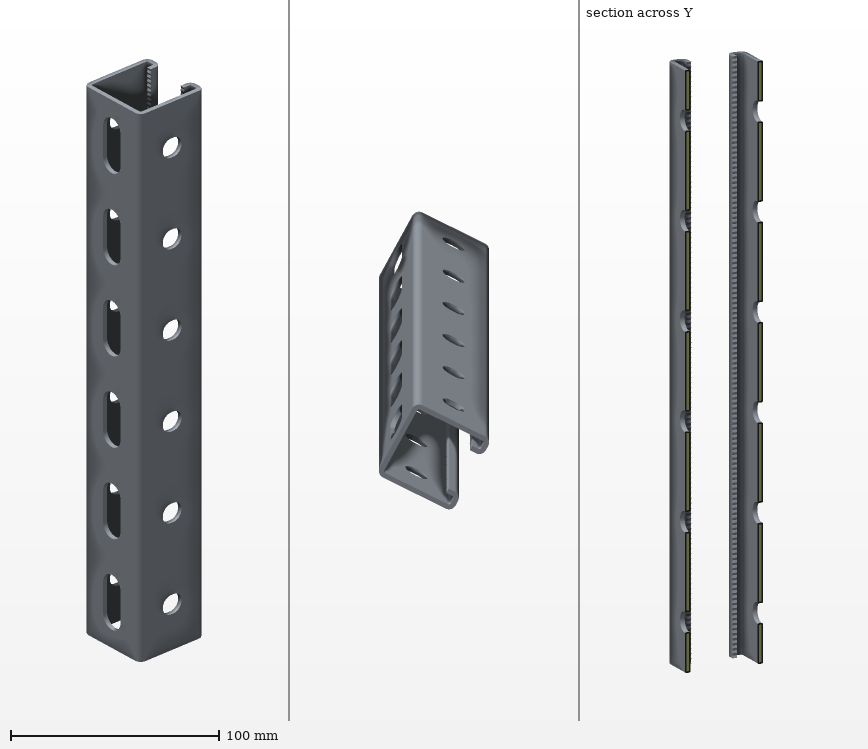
import cadquery as cq

length = 300.0
side = 41.0
wall = 2.5

outer_bend = 3.5
inner_bend = outer_bend - wall

mouth_width = 22.0
lip_depth = 7.0

tooth_count = 120
tooth_depth = 0.5
tooth_pitch = length / tooth_count

hole_count = 6
hole_pitch = length / hole_count
slot_width = 12.5
slot_length = 30.0
side_hole_height = 10.5
side_hole_width = 12.0

half_side = side / 2
half_mouth = mouth_width / 2
hole_heights = [(i + 0.5) * hole_pitch for i in range(hole_count)]


def box_between(x_min, x_max, y_min, y_max):
    """Full-length box between the given X and Y limits, standing on Z = 0."""
    return (
        cq.Workplane("XY")
        .box(x_max - x_min, y_max - y_min, length, centered=False)
        .translate((x_min, y_min, 0))
    )


def square_tube():
    """Square tube with bent corners, before the +Y face is opened."""
    outer = box_between(-half_side, half_side, -half_side, half_side)
    half_bore = half_side - wall
    bore = box_between(-half_bore, half_bore, -half_bore, half_bore)
    return outer.edges("|Z").fillet(outer_bend).cut(bore.edges("|Z").fillet(inner_bend))


def lip():
    """Hook on the +X side of the mouth, bent back into the channel."""
    x_end = half_side - outer_bend
    outer = box_between(half_mouth, x_end, half_side - lip_depth, half_side)
    hollow = box_between(half_mouth + wall, x_end, half_side - lip_depth, half_side - wall)
    bent_outer = outer.edges("|Z and >Y and <X").fillet(outer_bend)
    return bent_outer.cut(hollow.edges("|Z and >Y and <X").fillet(inner_bend))


def channel():
    """Tube opened along +Y, with a lip on each side of the opening."""
    opening_edge = half_side - outer_bend
    opening = box_between(-opening_edge, opening_edge, half_side - wall, half_side)
    right_lip = lip()
    left_lip = right_lip.mirror("YZ")
    return square_tube().cut(opening).union(right_lip).union(left_lip)


def tooth_gaps():
    """V-shaped gaps between the lip teeth, spanning both lips; each end of the part is a tooth crest."""
    tip_y = half_side - lip_depth
    root_y = tip_y + tooth_depth
    profile = [(tip_y - tooth_depth, 0), (tip_y, 0)]
    for i in range(tooth_count):
        profile.append((root_y, (i + 0.5) * tooth_pitch))
        profile.append((tip_y, (i + 1) * tooth_pitch))
    profile.append((tip_y - tooth_depth, length))
    half_span = half_mouth + wall
    return (
        cq.Workplane("YZ", origin=(-half_span, 0, 0))
        .polyline(profile)
        .close()
        .extrude(2 * half_span)
    )


def back_slots():
    """Lengthwise slots through the -Y wall."""
    return (
        cq.Workplane("XZ")
        .pushPoints([(0, z) for z in hole_heights])
        .slot2D(slot_length, slot_width, 90)
        .extrude(half_side)
    )


def side_holes():
    """Slightly wide obround holes through both X walls."""
    return (
        cq.Workplane("YZ", origin=(-half_side, 0, 0))
        .pushPoints([(0, z) for z in hole_heights])
        .slot2D(side_hole_width, side_hole_height)
        .extrude(side)
    )


result = channel().cut(tooth_gaps()).cut(back_slots()).cut(side_holes())